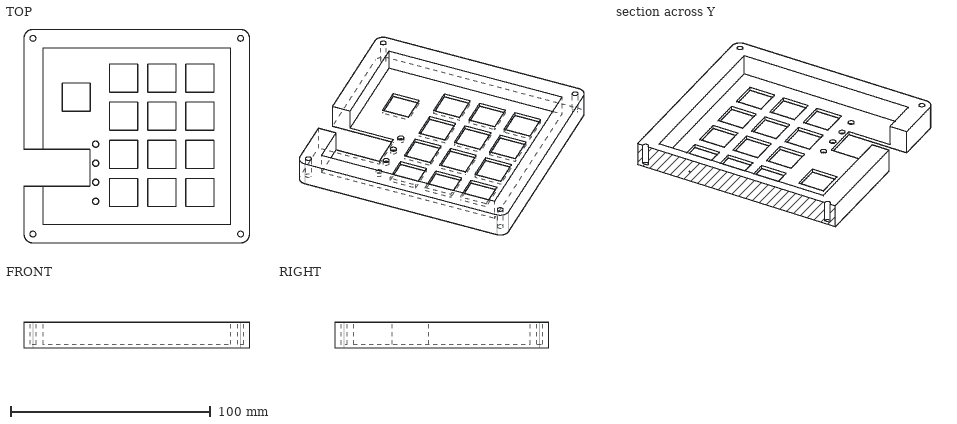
import cadquery as cq

length = 113.0
width = 107.0
height = 13.0
corner_radius = 4.5

floor_thickness = 1.9
side_wall = 9.6
end_wall = 9.4

screw_diameter = 2.9
screw_depth = height - floor_thickness

key_size = 14.0
key_pitch = 19.1
key_columns = 3
key_rows = 4
grid_center_x = 12.5
grid_center_y = 0.5

extra_key_x = -30.3
extra_key_y = grid_center_y + key_pitch

indicator_diameter = 3.0
indicator_count = 4
indicator_pitch = key_pitch / 2
indicator_x = -20.6
indicator_center_y = -18.3

notch_end_x = -23.5
notch_width = 18.3
notch_center_y = -15.8


def make_case():
    """Solid block with rounded vertical corners, its base on Z = 0."""
    block = cq.Workplane("XY").box(length, width, height, centered=(True, True, False))
    return block.edges("|Z").fillet(corner_radius)


def make_pocket():
    """Rectangular recess above the key plate."""
    return (
        cq.Workplane("XY", origin=(0, 0, floor_thickness))
        .rect(length - 2 * side_wall, width - 2 * end_wall)
        .extrude(height - floor_thickness)
    )


def make_screw_holes():
    """One blind hole in each corner of the rim."""
    spacing_x = length - 2 * corner_radius
    spacing_y = width - 2 * corner_radius
    return (
        cq.Workplane("XY", origin=(0, 0, height))
        .rect(spacing_x, spacing_y, forConstruction=True)
        .vertices()
        .circle(screw_diameter / 2)
        .extrude(-screw_depth)
    )


def make_key_openings():
    """Grid of square openings plus the single extra key."""
    grid = (
        cq.Workplane("XY", origin=(grid_center_x, grid_center_y, 0))
        .rarray(key_pitch, key_pitch, key_columns, key_rows)
        .rect(key_size, key_size)
        .extrude(floor_thickness)
    )
    extra_key = (
        cq.Workplane("XY", origin=(extra_key_x, extra_key_y, 0))
        .rect(key_size, key_size)
        .extrude(floor_thickness)
    )
    return grid.add(extra_key).combine()


def make_indicator_holes():
    """Column of round holes through the key plate."""
    return (
        cq.Workplane("XY", origin=(indicator_x, indicator_center_y, 0))
        .rarray(1.1, indicator_pitch, 1, indicator_count)
        .circle(indicator_diameter / 2)
        .extrude(floor_thickness)
    )


def make_notch():
    """Full-height slot entering from the -X side."""
    notch_length = notch_end_x + length / 2
    return (
        cq.Workplane("XY", origin=(-length / 2, notch_center_y, 0))
        .box(notch_length, notch_width, height, centered=(False, True, False))
    )


result = (
    make_case()
    .cut(make_pocket())
    .cut(make_screw_holes())
    .cut(make_key_openings())
    .cut(make_indicator_holes())
    .cut(make_notch())
)